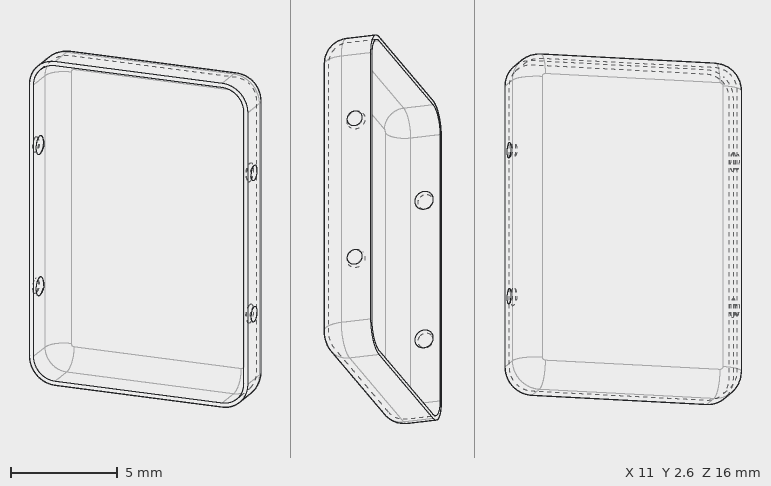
import cadquery as cq
import math

width = 11.0
depth = 2.6
height = 16.0
wall = 0.2
corner_radius = 1.3
back_edge_radius = 1.15

dimple_radius = 0.37
dimple_depth = 0.16
dimple_from_rim = 0.78
dimple_spacing = 6.98
cut_overlap = 0.08

rim_y = -depth / 2

hollow_radius = (dimple_radius**2 + dimple_depth**2) / (2 * dimple_depth)
bulge_radius = hollow_radius + wall
sphere_offset = width / 2 + hollow_radius - dimple_depth


def rounded_block(inset):
    """Tray outline shrunk by inset on the sides and back, flush with the rim."""
    block = cq.Workplane("XY").box(
        width - 2 * inset,
        depth - inset,
        height - 2 * inset,
    )
    block = block.translate((0, -inset / 2, 0))
    block = block.edges("|Y").fillet(corner_radius - inset)
    return block.faces(">Y").edges().fillet(back_edge_radius - inset)


def spherical_cap(radius, base_x):
    """Cap of the +X side sphere lying inward of the plane x = base_x, turned about X."""
    base_distance = sphere_offset - base_x
    base_radius = math.sqrt(radius**2 - base_distance**2)
    half_angle = math.acos(base_distance / radius) / 2
    arc_middle = (sphere_offset - radius * math.cos(half_angle), radius * math.sin(half_angle))
    return (
        cq.Workplane("XY")
        .moveTo(sphere_offset - radius, 0)
        .threePointArc(arc_middle, (base_x, base_radius))
        .lineTo(base_x, 0)
        .close()
        .revolve(360, (0, 0, 0), (1, 0, 0))
    )


def dimple_caps(cap):
    """Copies of a +X side cap at two levels on each side wall."""
    placed = []
    for level in (-1, 1):
        right_cap = cap.translate((0, rim_y + dimple_from_rim, level * dimple_spacing / 2))
        placed.append(right_cap)
        placed.append(right_cap.mirror("YZ"))
    return placed


tray = rounded_block(0).cut(rounded_block(wall))

for bulge in dimple_caps(spherical_cap(bulge_radius, width / 2 - wall / 2)):
    tray = tray.union(bulge)

for hollow in dimple_caps(spherical_cap(hollow_radius, width / 2 + cut_overlap)):
    tray = tray.cut(hollow)

result = tray